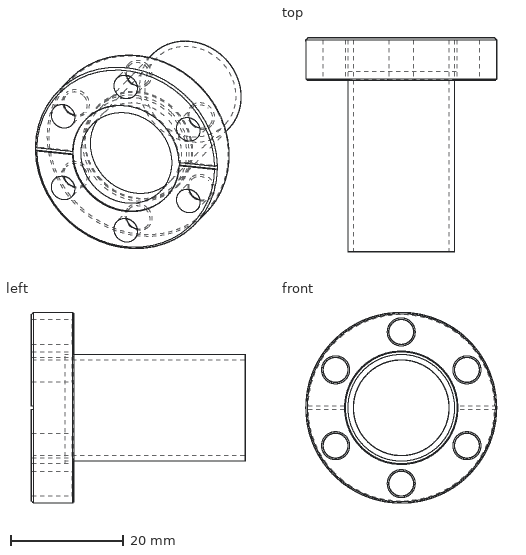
import cadquery as cq

overall_length = 38.1

flange_diameter = 34.0
flange_thickness = 7.6
front_chamfer = 0.25
back_chamfer = 0.4
bore_diameter = 19.9
bore_chamfer = 0.15

bolt_count = 6
bolt_circle_diameter = 27.0
bolt_hole_diameter = 4.4
bolt_hole_chamfer = 0.3
first_bolt_angle = 90
full_turn = 360

groove_width = 0.6
groove_depth = back_chamfer

tube_diameter = 19.0
tube_bore_diameter = 17.0
insert_front_setback = 1.6
insert_back_setback = groove_depth

sealing_face_y = 0.0
flange_front_y = sealing_face_y - flange_thickness
insert_front_y = flange_front_y + insert_front_setback
insert_back_y = sealing_face_y - insert_back_setback
tube_end_y = sealing_face_y - overall_length


def cylinder_along_y(diameter, front_y, back_y):
    base = cq.Workplane("XZ", origin=(0, back_y, 0))
    return base.circle(diameter / 2).extrude(back_y - front_y)


def ring_along_y(outer_diameter, inner_diameter, front_y, back_y):
    outside = cylinder_along_y(outer_diameter, front_y, back_y)
    return outside.cut(cylinder_along_y(inner_diameter, front_y, back_y))


def build_bolt_holes():
    return (
        cq.Workplane("XZ", origin=(0, sealing_face_y, 0))
        .polarArray(bolt_circle_diameter / 2, first_bolt_angle, full_turn, bolt_count)
        .circle(bolt_hole_diameter / 2)
        .extrude(flange_thickness)
    )


def build_flange():
    blank = cylinder_along_y(flange_diameter, flange_front_y, sealing_face_y)
    blank = blank.faces("<Y").chamfer(front_chamfer)
    blank = blank.faces(">Y").chamfer(back_chamfer)

    drilled = blank.cut(build_bolt_holes())
    smallest_circles = cq.selectors.RadiusNthSelector(0)
    drilled = drilled.faces("<Y").edges(smallest_circles).chamfer(bolt_hole_chamfer)

    bored = drilled.cut(cylinder_along_y(bore_diameter, flange_front_y, sealing_face_y))
    bore_circle = cq.selectors.RadiusNthSelector(1)
    bored = bored.faces("<Y").edges(bore_circle).chamfer(bore_chamfer)

    groove = cq.Workplane("XY", origin=(0, sealing_face_y, 0)).box(
        flange_diameter, 2 * groove_depth, groove_width
    )
    return bored.cut(groove)


def build_insert():
    return ring_along_y(bore_diameter, tube_bore_diameter, insert_front_y, insert_back_y)


def build_tube():
    return ring_along_y(tube_diameter, tube_bore_diameter, tube_end_y, insert_front_y)


flange = build_flange().solids()
insert = build_insert().solids()
tube = build_tube().solids()
result = cq.Compound.makeCompound([flange.val(), insert.val(), tube.val()])